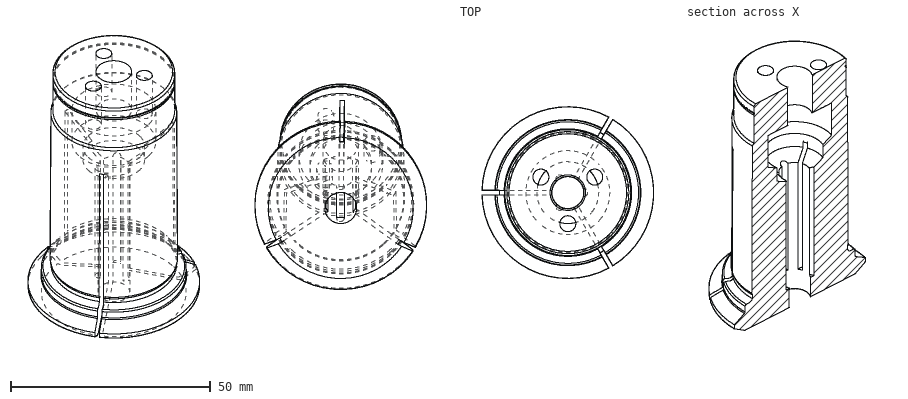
import cadquery as cq
import math

LENGTH = 70.0

FLANGE_R = 21.5
FLANGE_BASE_R = 18.1
FLANGE_RIM_BOTTOM = 2.2
FLANGE_RIM_TOP = 3.5
FLANGE_RIM_CHAMFER = 0.2
COLLAR_R = 18.1
COLLAR_FOOT_R = 18.3
COLLAR_FOOT_BOTTOM = 5.5
COLLAR_BOTTOM = 5.95
COLLAR_TOP = 8.2
COLLAR_CHAMFER = 0.4

UNDERCUT_R = 15.75
UNDERCUT_FILLET_R = 1.05
UNDERCUT_FILLET_WIDTH = 1.05
UNDERCUT_FILLET_HEIGHT = 0.8
UNDERCUT_TOP = 10.15
BODY_BOTTOM = 10.8
BODY_BOTTOM_R = 15.95
BODY_TOP = 57.2
BODY_TOP_R = 15.75

HEAD_R = 30.5 / 2
HEAD_BOTTOM = 57.8
HEAD_CHAMFER = 0.55
GROOVE_TOP = 67.2
GROOVE_BOTTOM = 66.7
GROOVE_DEPTH = 0.3

CONE_RISE = math.tan(math.radians(30))
CLAMP_BORE_R = 8.0 / 2
RELIEF_R = 15.5 / 2
RELIEF_BOTTOM = 42.1
CLAMP_BORE_TOP = RELIEF_BOTTOM - (RELIEF_R - CLAMP_BORE_R) * CONE_RISE
CAVITY_R = 21.0 / 2
CAVITY_CONE_BOTTOM = 46.2
CAVITY_CONE_TOP = CAVITY_CONE_BOTTOM + (CAVITY_R - RELIEF_R) * CONE_RISE
CAVITY_TOP = HEAD_BOTTOM
HEAD_HOLE_R = 8.9 / 2

BORE_GROOVE_R = 1.0
BORE_GROOVE_ANGLES = (0, 120, 240)

COOLANT_HOLE_D = 4.0
COOLANT_CIRCLE_R = 7.8
COOLANT_ANGLES = (30, 150, 270)

SLOT_WIDTH = 1.1
SLOT_ANGLES = (60, 180, 300)
SLOT_FLOOR_OUTER_R = 17.1
SLOT_FLOOR_INNER_Z = 6.2
SLOT_ROOF_INNER_Z = 43.7
SLOT_TOP = 49.55
SLOT_OUTER_R = FLANGE_R + 0.7


def outer_body():
    """Revolve the outside: flange, collar, undercut, tapered body and head."""
    groove_r = HEAD_R - GROOVE_DEPTH
    profile = (
        cq.Workplane("XZ")
        .lineTo(FLANGE_BASE_R, 0)
        .lineTo(FLANGE_R, FLANGE_RIM_BOTTOM)
        .lineTo(FLANGE_R, FLANGE_RIM_TOP)
        .lineTo(FLANGE_R - FLANGE_RIM_CHAMFER, FLANGE_RIM_TOP + FLANGE_RIM_CHAMFER)
        .lineTo(COLLAR_FOOT_R, COLLAR_FOOT_BOTTOM)
        .lineTo(COLLAR_R, COLLAR_BOTTOM)
        .lineTo(COLLAR_R, COLLAR_TOP - COLLAR_CHAMFER)
        .lineTo(COLLAR_R - COLLAR_CHAMFER, COLLAR_TOP)
        .lineTo(UNDERCUT_R + UNDERCUT_FILLET_WIDTH, COLLAR_TOP)
        .radiusArc((UNDERCUT_R, COLLAR_TOP + UNDERCUT_FILLET_HEIGHT), UNDERCUT_FILLET_R)
        .lineTo(UNDERCUT_R, UNDERCUT_TOP)
        .lineTo(BODY_BOTTOM_R, BODY_BOTTOM)
        .lineTo(BODY_TOP_R, BODY_TOP)
        .lineTo(HEAD_R, HEAD_BOTTOM)
        .lineTo(HEAD_R, GROOVE_BOTTOM)
        .lineTo(groove_r, GROOVE_TOP)
        .lineTo(HEAD_R, GROOVE_TOP)
        .lineTo(HEAD_R, LENGTH - HEAD_CHAMFER)
        .lineTo(HEAD_R - HEAD_CHAMFER, LENGTH)
        .lineTo(0, LENGTH)
        .close()
    )
    return profile.revolve(360, (0, 0, 0), (0, 1, 0))


def stepped_bore():
    """Clamping bore, relief, wide cavity and the hole through the head."""
    profile = (
        cq.Workplane("XZ")
        .lineTo(CLAMP_BORE_R, 0)
        .lineTo(CLAMP_BORE_R, CLAMP_BORE_TOP)
        .lineTo(RELIEF_R, RELIEF_BOTTOM)
        .lineTo(RELIEF_R, CAVITY_CONE_BOTTOM)
        .lineTo(CAVITY_R, CAVITY_CONE_TOP)
        .lineTo(CAVITY_R, CAVITY_TOP)
        .lineTo(HEAD_HOLE_R, CAVITY_TOP)
        .lineTo(HEAD_HOLE_R, LENGTH)
        .lineTo(0, LENGTH)
        .close()
    )
    return profile.revolve(360, (0, 0, 0), (0, 1, 0))


def bore_groove(angle):
    """Groove centred on the wall of the clamping bore, from the slot floor up to the relief."""
    x = CLAMP_BORE_R * math.cos(math.radians(angle))
    y = CLAMP_BORE_R * math.sin(math.radians(angle))
    start = cq.Workplane("XY").workplane(offset=SLOT_FLOOR_INNER_Z)
    return start.center(x, y).circle(BORE_GROOVE_R).extrude(RELIEF_BOTTOM - SLOT_FLOOR_INNER_Z)


def coolant_hole(angle):
    """Hole from the top face down into the cavity, at the given angle from +X."""
    x = COOLANT_CIRCLE_R * math.cos(math.radians(angle))
    y = COOLANT_CIRCLE_R * math.sin(math.radians(angle))
    top = cq.Workplane("XY").workplane(offset=LENGTH)
    return top.center(x, y).circle(COOLANT_HOLE_D / 2).extrude(CAVITY_TOP - LENGTH)


def clamping_slot(angle):
    """Radial slot into the bore; its floor rises inward and its roof falls inward."""
    return (
        cq.Workplane("XZ")
        .moveTo(0, SLOT_FLOOR_INNER_Z)
        .lineTo(CLAMP_BORE_R, SLOT_FLOOR_INNER_Z)
        .lineTo(SLOT_FLOOR_OUTER_R, 0)
        .lineTo(SLOT_OUTER_R, 0)
        .lineTo(SLOT_OUTER_R, SLOT_TOP)
        .lineTo(BODY_TOP_R, SLOT_TOP)
        .lineTo(RELIEF_R, SLOT_ROOF_INNER_Z)
        .lineTo(0, SLOT_ROOF_INNER_Z)
        .close()
        .extrude(SLOT_WIDTH / 2, both=True)
        .rotate((0, 0, 0), (0, 0, 1), angle)
    )


result = outer_body().cut(stepped_bore())
for groove_angle in BORE_GROOVE_ANGLES:
    result = result.cut(bore_groove(groove_angle))
for hole_angle in COOLANT_ANGLES:
    result = result.cut(coolant_hole(hole_angle))
for slot_angle in SLOT_ANGLES:
    result = result.cut(clamping_slot(slot_angle))